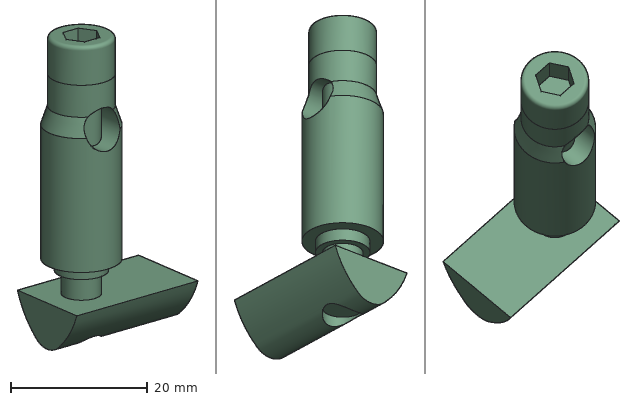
import cadquery as cq
import math

total_height = 47.8

nut_width = 13.8
nut_length = 23.0
nut_height = 7.25
nut_front_to_axis = 6.5
flank_mid_half_width = 5.1
flank_mid_z = 3.8
keel_half_width = 2.8
keel_z = 1.2

shank_diameter = 5.98
shank_length = 40.0
head_diameter = 10.0
head_height = 6.0
head_fillet = 0.6
hex_across_flats = 5.0
hex_depth = 3.82
head_seat_z = total_height - head_height

sleeve_diameter = 12.0
neck_diameter = head_diameter
neck_length = 5.0
cone_height = 2.95
spigot_diameter = 8.05
spigot_length = 1.85
spigot_bottom_z = 10.9
cross_hole_diameter = 6.5
cross_hole_z = 34.55
sleeve_bottom_z = spigot_bottom_z + spigot_length
cone_top_z = head_seat_z - neck_length
cone_bottom_z = cone_top_z - cone_height


def shank_cylinder(bottom_z, top_z):
    """Cylinder of the shank diameter on the bolt axis."""
    return (
        cq.Workplane("XY", origin=(0, 0, bottom_z))
        .circle(shank_diameter / 2)
        .extrude(top_z - bottom_z)
    )


def make_nut():
    """Prism with curved flanks and a rounded keel, pierced by the bolt hole."""
    half_width = nut_width / 2
    body = (
        cq.Workplane("XZ", origin=(0, -nut_front_to_axis, 0))
        .moveTo(-half_width, nut_height)
        .threePointArc((-flank_mid_half_width, flank_mid_z), (-keel_half_width, keel_z))
        .threePointArc((0, 0), (keel_half_width, keel_z))
        .threePointArc((flank_mid_half_width, flank_mid_z), (half_width, nut_height))
        .close()
        .extrude(-nut_length)
    )
    return body.cut(shank_cylinder(0, nut_height))


def make_sleeve():
    """Turned sleeve with spigot and conical shoulder, bored and cross-drilled."""
    body = (
        cq.Workplane("XZ")
        .moveTo(0, spigot_bottom_z)
        .lineTo(spigot_diameter / 2, spigot_bottom_z)
        .lineTo(spigot_diameter / 2, sleeve_bottom_z)
        .lineTo(sleeve_diameter / 2, sleeve_bottom_z)
        .lineTo(sleeve_diameter / 2, cone_bottom_z)
        .lineTo(neck_diameter / 2, cone_top_z)
        .lineTo(neck_diameter / 2, head_seat_z)
        .lineTo(0, head_seat_z)
        .close()
        .revolve(360, (0, 0, 0), (0, 1, 0))
    )
    cross_hole = (
        cq.Workplane("YZ", origin=(0, 0, cross_hole_z))
        .circle(cross_hole_diameter / 2)
        .extrude(sleeve_diameter, both=True)
    )
    return body.cut(shank_cylinder(spigot_bottom_z, head_seat_z)).cut(cross_hole)


def make_bolt():
    """Bolt with a rounded head and a hexagon socket with corners on the Y axis."""
    head = (
        cq.Workplane("XY", origin=(0, 0, head_seat_z))
        .circle(head_diameter / 2)
        .extrude(head_height)
        .faces(">Z")
        .edges()
        .fillet(head_fillet)
    )
    hex_across_corners = hex_across_flats / math.cos(math.radians(30))
    socket = (
        cq.Workplane("XY", origin=(0, 0, total_height - hex_depth))
        .transformed(rotate=(0, 0, 90))
        .polygon(6, hex_across_corners)
        .extrude(hex_depth)
    )
    shank = shank_cylinder(head_seat_z - shank_length, head_seat_z)
    return head.cut(socket).union(shank)


nut = make_nut()
sleeve = make_sleeve()
bolt = make_bolt()

result = cq.Compound.makeCompound([body.solids().val() for body in (nut, sleeve, bolt)])